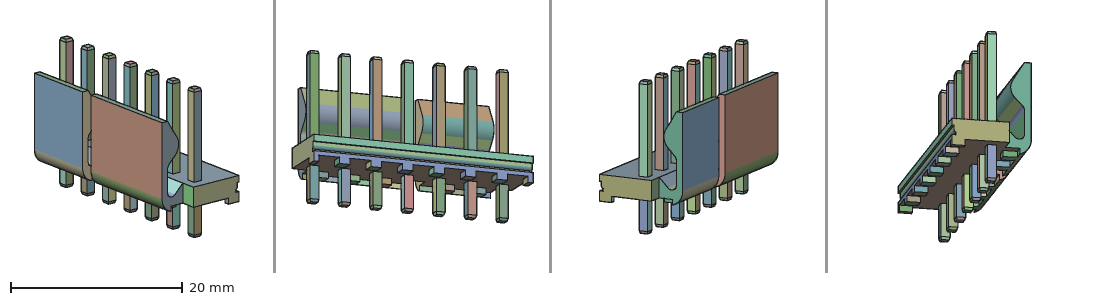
import cadquery as cq


pin_count = 7
end_pin_span = 23.77
pin_pitch = end_pin_span / (pin_count - 1)
pin_width = 1.13
pin_y = 1.76
pin_above_base = 11.41
pin_below_base = 4.38
pin_tip_height = 0.33
pin_tip_inset = 0.1

base_length = 27.57
base_depth = 6.9
base_height = 2.48

groove_bottom = 0.5
groove_top = 1.65
groove_lower_depth = 0.47
groove_lower_top = 0.8
groove_upper_depth = 0.25
groove_upper_bottom = 1.19

foot_height = 0.75
foot_width = 1.35
end_foot_width = 0.65
rear_foot_depth = 1.6

latch_front = -3.12
latch_wall = 0.83
latch_inner = latch_front + latch_wall
latch_top = base_height + 8.08
latch_span = 23.65
gap_start = -2.9
gap_end = -1.32
bump_point_y = -0.15
bump_start_z = 5.0
bump_point_z = bump_start_z + bump_point_y - latch_inner
valley_z = base_height + latch_inner
valley_radius = 0.65
bump_start_radius = 0.83
bump_radius = 1.8
heel_radius = 1.87
recess_depth = 1.75

pin_places = [-end_pin_span / 2 + i * pin_pitch for i in range(pin_count)]
foot_places = [x + pin_pitch / 2 for x in pin_places[:-1]]


def block(x_min, x_max, y_min, y_max, z_min, z_max):
    """Box given by its limits along each axis."""
    size = (x_max - x_min, y_max - y_min, z_max - z_min)
    return cq.Workplane("XY").box(*size, centered=False).translate((x_min, y_min, z_min))


def make_base():
    """Rectangular bar with a groove that steps deeper through an arc along its back face."""
    base = block(-base_length / 2, base_length / 2, 0, base_depth, 0, base_height)
    lower_y = base_depth - groove_lower_depth
    upper_y = base_depth - groove_upper_depth
    groove = (
        cq.Workplane("YZ", origin=(-base_length / 2, 0, 0))
        .moveTo(base_depth, groove_top)
        .lineTo(upper_y, groove_top)
        .lineTo(upper_y, groove_upper_bottom)
        .tangentArcPoint((lower_y, groove_lower_top), relative=False)
        .lineTo(lower_y, groove_bottom)
        .lineTo(base_depth, groove_bottom)
        .close()
        .extrude(base_length)
    )
    return base.cut(groove)


def make_rear_feet():
    """Feet along the back edge: one between each two pins and a narrow one at each end."""
    half = base_length / 2
    spans = [(-half, -half + end_foot_width), (half - end_foot_width, half)]
    spans += [(x - foot_width / 2, x + foot_width / 2) for x in foot_places]
    feet = cq.Workplane("XY")
    for x_min, x_max in spans:
        feet = feet.add(block(x_min, x_max, base_depth - rear_foot_depth, base_depth, -foot_height, 0))
    return feet.combine()


def make_latch(x_min, x_max):
    """Upright spring wall with a bump on its inner side, joined to the base by a rounded heel."""
    valley = (latch_inner, valley_z)
    bump_start = (latch_inner, bump_start_z)
    bump_point = (bump_point_y, bump_point_z)
    heel = (latch_front, -foot_height)
    outline = [
        (0, base_height),
        valley,
        bump_start,
        bump_point,
        (latch_inner, latch_top),
        (latch_front, latch_top),
        heel,
        (0, -foot_height),
    ]
    latch = cq.Workplane("YZ", origin=(x_min, 0, 0)).polyline(outline).close().extrude(x_max - x_min)
    rounds = [
        (valley, valley_radius),
        (bump_start, bump_start_radius),
        (bump_point, bump_radius),
        (heel, heel_radius),
    ]
    for (y, z), radius in rounds:
        corner = cq.selectors.NearestToPointSelector(((x_min + x_max) / 2, y, z))
        latch = latch.edges("|X").edges(corner).fillet(radius)

    recess = block(x_min, x_max, -recess_depth, 0, -foot_height, 0)
    for x in foot_places:
        if x_min < x < x_max:
            foot = block(x - foot_width / 2, x + foot_width / 2, -recess_depth, 0, -foot_height, 0)
            recess = recess.cut(foot)
    return latch.cut(recess)


def make_pin(x):
    """Square pin through the base, tapered at both tips."""
    bottom = -pin_below_base
    top = base_height + pin_above_base
    half = pin_width / 2
    pin = block(x - half, x + half, pin_y - half, pin_y + half, bottom, top)
    return pin.faces("<Z or >Z").chamfer(pin_tip_height, pin_tip_inset)


result = make_base().union(make_rear_feet())
result = result.union(make_latch(-latch_span / 2, gap_start))
result = result.union(make_latch(gap_end, latch_span / 2))
for pin_x in pin_places:
    result = result.union(make_pin(pin_x))